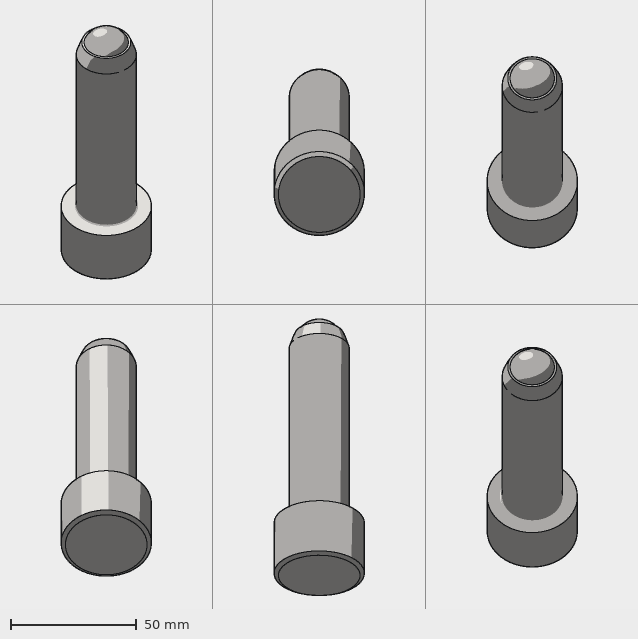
import cadquery as cq
import math

TOTAL_HEIGHT = 116.06
HEAD_DIAMETER = 36.0
HEAD_HEIGHT = 24.0
HEAD_CHAMFER_HEIGHT = 1.0
HEAD_CHAMFER_ANGLE = 30.0
SHANK_DIAMETER = 24.0
SHANK_TOP = 104.0
NECK_FILLET = 0.8
LEAD_IN_HEIGHT = 6.3
LEAD_IN_TOP_RADIUS = 9.75
LEAD_IN_CURVE_RADIUS = 36.0
DOME_BASE_RADIUS = 8.82

HEAD_RADIUS = HEAD_DIAMETER / 2
SHANK_RADIUS = SHANK_DIAMETER / 2
HEAD_CHAMFER_WIDTH = HEAD_CHAMFER_HEIGHT / math.tan(math.radians(HEAD_CHAMFER_ANGLE))
DOME_BASE = SHANK_TOP + LEAD_IN_HEIGHT
DOME_HEIGHT = TOTAL_HEIGHT - DOME_BASE
DOME_SPHERE_RADIUS = (DOME_BASE_RADIUS**2 + DOME_HEIGHT**2) / (2 * DOME_HEIGHT)


def arc_sagitta(start, end, radius):
    """Bulge height of an arc of the given radius over the chord from start to end."""
    half_chord = math.dist(start, end) / 2
    return radius - math.sqrt(radius**2 - half_chord**2)


def add_convex_arc(profile, start, end, radius):
    """Continue the profile upward with an arc bulging away from the axis."""
    return profile.sagittaArc(end, -arc_sagitta(start, end, radius))


def neck_fillet_middle():
    """Middle point of the concave quarter round between head and shank."""
    offset = NECK_FILLET * (1 - math.sqrt(0.5))
    return (SHANK_RADIUS + offset, HEAD_HEIGHT + offset)


def make_pin():
    """Revolve the half profile, given as (radius, height), around Z."""
    shank_edge = (SHANK_RADIUS, SHANK_TOP)
    lead_in_edge = (LEAD_IN_TOP_RADIUS, DOME_BASE)
    dome_edge = (DOME_BASE_RADIUS, DOME_BASE)
    apex = (0, TOTAL_HEIGHT)

    profile = (
        cq.Workplane("XZ")
        .lineTo(HEAD_RADIUS - HEAD_CHAMFER_WIDTH, 0)
        .lineTo(HEAD_RADIUS, HEAD_CHAMFER_HEIGHT)
        .lineTo(HEAD_RADIUS, HEAD_HEIGHT)
    )
    profile = (
        profile.lineTo(SHANK_RADIUS + NECK_FILLET, HEAD_HEIGHT)
        .threePointArc(neck_fillet_middle(), (SHANK_RADIUS, HEAD_HEIGHT + NECK_FILLET))
        .lineTo(*shank_edge)
    )
    profile = add_convex_arc(profile, shank_edge, lead_in_edge, LEAD_IN_CURVE_RADIUS)
    profile = profile.lineTo(*dome_edge)
    profile = add_convex_arc(profile, dome_edge, apex, DOME_SPHERE_RADIUS)
    return profile.close().revolve(360, (0, 0), (0, 1))


result = make_pin()